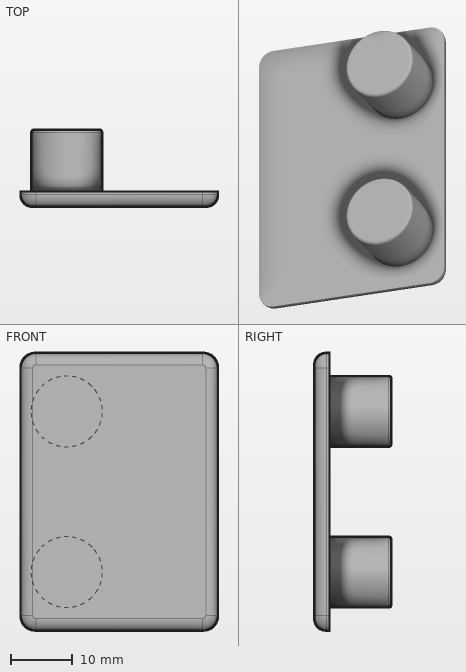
import cadquery as cq

plate_width = 32.0
plate_height = 45.0
plate_thickness = 2.5
corner_radius = 2.5
front_edge_radius = 2.0

peg_diameter = 11.5
peg_length = 10.0
peg_end_radius = 0.5
peg_side_distance = 7.5
peg_spacing = 26.0

peg_x = peg_side_distance - plate_width / 2


def make_plate():
    """Rectangular plate with rounded corners and a rounded front rim."""
    plate = cq.Workplane("XY").box(
        plate_width, plate_thickness, plate_height, centered=(True, False, True)
    )
    plate = plate.translate((0, -plate_thickness, 0))
    plate = plate.edges("|Y").fillet(corner_radius)
    return plate.faces("<Y").edges().fillet(front_edge_radius)


def make_peg(peg_z):
    """Cylinder standing on the back face, with a rounded free end."""
    peg = cq.Workplane("XZ").center(peg_x, peg_z).circle(peg_diameter / 2)
    peg = peg.extrude(-peg_length)
    return peg.faces(">Y").edges().fillet(peg_end_radius)


result = make_plate()
for peg_z in (-peg_spacing / 2, peg_spacing / 2):
    result = result.union(make_peg(peg_z))